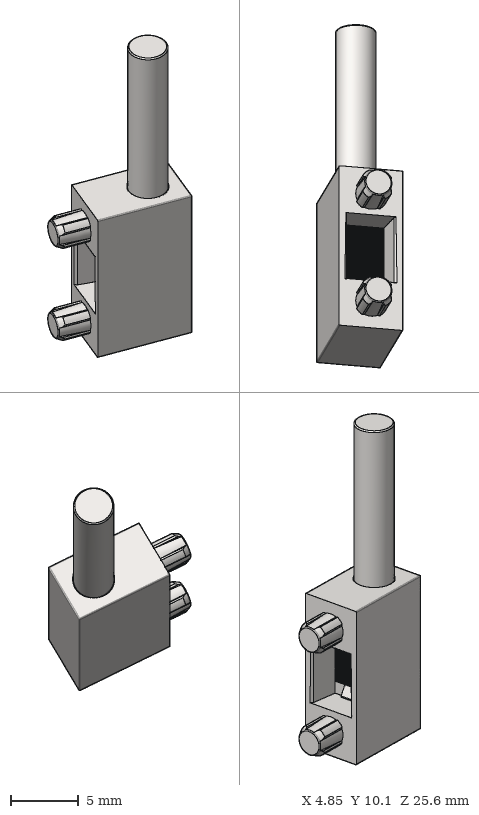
import cadquery as cq
BODY_WIDTH = 4.85
BODY_DEPTH = 7.6
BODY_HEIGHT = 12.7
EDGE_RADIUS = 0.08

TOTAL_HEIGHT = 25.62
CABLE_DIAMETER = 3.0
CABLE_TO_BACK = 2.5
CABLE_Y = BODY_DEPTH - CABLE_TO_BACK
CABLE_TIP_CHAMFER = 0.1
CLEARANCE_WIDTH = 0.05
CLEARANCE_DEPTH = 0.13

PEG_LENGTH = 2.55
PEG_HEIGHTS = (2.08, 10.6)
CORE_BASE_RADIUS = 1.15
CORE_TIP_RADIUS = 1.02
TIP_CHAMFER = 0.08
RIB_COUNT = 4
RIB_OUTER_RADIUS = 1.25
RIB_SHOULDER_RADIUS = 1.08
RIB_CREST_WIDTH = 0.56
RIB_ROOT_WIDTH = 0.8
RIB_TIP_CHAMFER_LENGTH = 0.5

POCKET_BOTTOM = 3.77
POCKET_TOP = 9.02
POCKET_DEPTH = 2.38
MOUTH_BOTTOM_WIDTH = 3.95
MOUTH_TOP_WIDTH = 3.8
THROAT_WIDTH = 3.59
THROAT_DEPTH = 0.2
BACK_WALL_WIDTH = 3.02

GROOVED_BOTTOM = 4.77
GROOVE_COUNT = 50
GROOVE_DEPTH = 0.05

CATCH_WIDTH = 1.18
CATCH_REACH = 0.44
CATCH_BOTTOM = 3.9
CATCH_LIP = 0.1
CATCH_EMBED = 0.13


def make_body():
    """Block with every edge rounded except those around the front face."""
    block = cq.Workplane("XY").box(BODY_WIDTH, BODY_DEPTH, BODY_HEIGHT, centered=(True, False, False))
    return block.edges("not(<Y)").fillet(EDGE_RADIUS)


def make_clearance():
    """Shallow round recess in the top of the housing, a little wider than the cable."""
    return (
        cq.Workplane("XY", origin=(0, CABLE_Y, BODY_HEIGHT - CLEARANCE_DEPTH))
        .circle(CABLE_DIAMETER / 2 + CLEARANCE_WIDTH)
        .extrude(CLEARANCE_DEPTH)
    )


def make_cable():
    """Round cable with a chamfered end, rooted below the floor of its clearance recess."""
    start = BODY_HEIGHT - 2 * CLEARANCE_DEPTH
    return (
        cq.Workplane("XY", origin=(0, CABLE_Y, start))
        .circle(CABLE_DIAMETER / 2)
        .extrude(TOTAL_HEIGHT - start)
        .faces(">Z")
        .chamfer(CABLE_TIP_CHAMFER)
    )


def make_peg():
    """Tapered round peg along -Y with straight diagonal ribs that slope inward at the tip."""
    axis_start = (0, 0)
    axis_end = (0, -1)
    core = (
        cq.Workplane("XY")
        .polyline([(0, 0), (CORE_BASE_RADIUS, 0), (CORE_TIP_RADIUS, -PEG_LENGTH), (0, -PEG_LENGTH)])
        .close()
        .revolve(360, axis_start, axis_end)
    )
    envelope = (
        cq.Workplane("XY")
        .moveTo(0, 0)
        .lineTo(RIB_OUTER_RADIUS, 0)
        .lineTo(RIB_OUTER_RADIUS, RIB_TIP_CHAMFER_LENGTH - PEG_LENGTH)
        .lineTo(CORE_TIP_RADIUS, TIP_CHAMFER - PEG_LENGTH)
        .lineTo(CORE_TIP_RADIUS - TIP_CHAMFER, -PEG_LENGTH)
        .lineTo(0, -PEG_LENGTH)
        .close()
        .revolve(360, axis_start, axis_end)
    )
    rib = (
        cq.Workplane("XZ")
        .polyline([
            (0, -RIB_ROOT_WIDTH / 2),
            (RIB_SHOULDER_RADIUS, -RIB_ROOT_WIDTH / 2),
            (RIB_OUTER_RADIUS, -RIB_CREST_WIDTH / 2),
            (RIB_OUTER_RADIUS, RIB_CREST_WIDTH / 2),
            (RIB_SHOULDER_RADIUS, RIB_ROOT_WIDTH / 2),
            (0, RIB_ROOT_WIDTH / 2),
        ])
        .close()
        .extrude(PEG_LENGTH)
    )
    rib_spacing = 360 / RIB_COUNT
    peg = core
    for i in range(RIB_COUNT):
        angle = (i + 0.5) * rib_spacing
        peg = peg.union(rib.rotate((0, 0, 0), (0, 1, 0), angle))
    return peg.intersect(envelope)


def trapezoid(y, bottom_width, top_width):
    """Upright symmetric trapezoid wire of pocket height at depth y."""
    corners = [
        (-bottom_width / 2, POCKET_BOTTOM),
        (bottom_width / 2, POCKET_BOTTOM),
        (top_width / 2, POCKET_TOP),
        (-top_width / 2, POCKET_TOP),
    ]
    return cq.Wire.makePolygon([cq.Vector(x, y, z) for x, z in corners], close=True)


def make_pocket():
    """Cavity that narrows quickly at its mouth, then gently to the back wall."""
    mouth = trapezoid(0, MOUTH_BOTTOM_WIDTH, MOUTH_TOP_WIDTH)
    throat = trapezoid(THROAT_DEPTH, THROAT_WIDTH, THROAT_WIDTH)
    back = trapezoid(POCKET_DEPTH, BACK_WALL_WIDTH, BACK_WALL_WIDTH)
    flare = cq.Solid.makeLoft([mouth, throat], True)
    chamber = cq.Solid.makeLoft([throat, back], True)
    return cq.Workplane(flare).union(cq.Workplane(chamber))


def make_grooves():
    """Row of V-grooves, cut deeper than the back wall by the groove depth."""
    pitch = (POCKET_TOP - GROOVED_BOTTOM) / GROOVE_COUNT
    profile = [(POCKET_DEPTH, GROOVED_BOTTOM)]
    for i in range(GROOVE_COUNT):
        start = GROOVED_BOTTOM + i * pitch
        profile.append((POCKET_DEPTH + GROOVE_DEPTH, start + pitch / 2))
        profile.append((POCKET_DEPTH, start + pitch))
    inside = POCKET_DEPTH - GROOVE_DEPTH
    profile.append((inside, POCKET_TOP))
    profile.append((inside, GROOVED_BOTTOM))
    return cq.Workplane("YZ").polyline(profile).close().extrude(BACK_WALL_WIDTH / 2, both=True)


def make_catch():
    """Sloped wedge on the back wall, rooted a little way into it."""
    tip = POCKET_DEPTH - CATCH_REACH
    root = POCKET_DEPTH + CATCH_EMBED
    return (
        cq.Workplane("YZ")
        .polyline([
            (root, CATCH_BOTTOM),
            (tip, CATCH_BOTTOM),
            (tip, CATCH_BOTTOM + CATCH_LIP),
            (POCKET_DEPTH, GROOVED_BOTTOM),
            (root, GROOVED_BOTTOM),
        ])
        .close()
        .extrude(CATCH_WIDTH / 2, both=True)
    )


result = make_body().cut(make_clearance()).union(make_cable())
result = result.cut(make_pocket()).cut(make_grooves()).union(make_catch())
peg = make_peg()
for height in PEG_HEIGHTS:
    result = result.union(peg.translate((0, 0, height)))